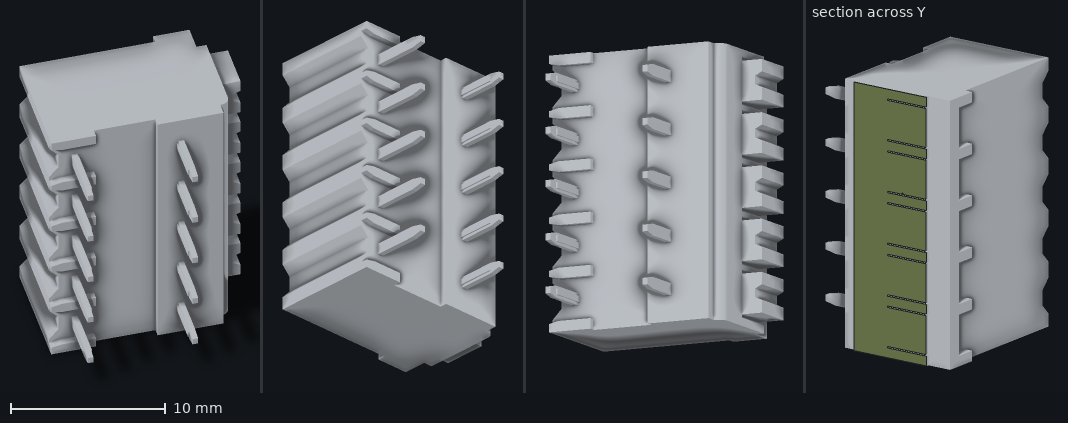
import cadquery as cq
pole_count = 5
pole_pitch = 3.5
divider_width = 0.7
height = pole_count * pole_pitch + divider_width
pole_centers = [divider_width / 2 + (i + 0.5) * pole_pitch for i in range(pole_count)]
opening_width = pole_pitch - divider_width

flange_thickness = 0.55
body_right = 8.4
body_depth = 11.55
flange_bottom = 10.58
flange_rib_bottom = 9.12

relief_depth = 0.52
relief_start = 3.0
relief_end = 7.13

groove_depth = 0.63
groove_mouth = 2.4
groove_floor = 1.06

pocket_mouth = 3.1
pocket_inner = 2.8
pocket_flare_depth = 0.7

wall_top = 12.22
wall_left = 1.72
wall_right = 7.6
wall_radius = 0.6
channel_flare_depth = 0.27
channel_flare_width = 0.2

lever_left = 1.77
lever_right = 4.88
lever_top = 13.65
lever_width = 2.68
lever_notch_depth = 0.49
lever_notch_mouth = 1.05
lever_notch_floor = 0.57

pin_end = 11.9
pin_width = 0.78
pin_thickness = 0.38
lower_pin_y = 1.69
upper_pin_y = 8.71
pin_taper_length = 0.78
pin_tip_width = 0.44
pin_embed = 1.0
bead_height = 0.1
bead_width = 0.4


def box(x_range, y_range, z_range):
    """Axis-aligned block from (low, high) pairs."""
    size = [high - low for low, high in (x_range, y_range, z_range)]
    corner = (x_range[0], y_range[0], z_range[0])
    return cq.Workplane("XY").box(*size, centered=False).translate(corner)


def around(center, width):
    """(low, high) pair centered on a value."""
    return (center - width / 2, center + width / 2)


def trapezoid_along_x(x_range, y_wide, y_narrow, z_center, width_wide, width_narrow):
    """Prism along X whose YZ section tapers from one Y level to another."""
    wide_low, wide_high = around(z_center, width_wide)
    narrow_low, narrow_high = around(z_center, width_narrow)
    section = [
        (y_wide, wide_low),
        (y_wide, wide_high),
        (y_narrow, narrow_high),
        (y_narrow, narrow_low),
    ]
    x_low, x_high = x_range
    return cq.Workplane("YZ", origin=(x_low, 0, 0)).polyline(section).close().extrude(x_high - x_low)


def make_housing():
    """Main block with the flange, the raised wall and the relief on the pin side."""
    full_height = (0, height)
    body = box((flange_thickness, body_right), (0, body_depth), full_height)
    flange = box((0, flange_thickness), (flange_rib_bottom, body_depth), full_height)
    wall = box((wall_left, wall_right), (body_depth - wall_radius, wall_top), full_height)
    wall = wall.edges("|Z and >X and >Y").fillet(wall_radius)
    relief = box((body_right - relief_depth, body_right), (relief_start, relief_end), full_height)
    return body.union(flange).union(wall).cut(relief)


def make_flange_opening(z):
    """Cutter that leaves ribs below the flange strip between neighbouring poles."""
    return box((0, flange_thickness), (flange_rib_bottom, flange_bottom), around(z, opening_width))


def make_lever_opening(z):
    """Cutter for the lever channel of one pole, flared at its rim."""
    opening_x = (wall_left, lever_right)
    flare_start = wall_top - channel_flare_depth
    channel = box(opening_x, (body_depth, flare_start), around(z, opening_width))
    rim_width = opening_width + 2 * channel_flare_width
    rim = trapezoid_along_x(opening_x, wall_top, flare_start, z, rim_width, opening_width)
    return channel.union(rim)


def make_lever(z):
    """Release lever with a V-sided notch across its tip."""
    lever_x = (lever_left, lever_right)
    lever = box(lever_x, (body_depth, lever_top), around(z, lever_width))
    notch_bottom = lever_top - lever_notch_depth
    notch = trapezoid_along_x(lever_x, lever_top, notch_bottom, z, lever_notch_mouth, lever_notch_floor)
    return lever.cut(notch)


def make_groove(z):
    """Cutter for one groove along the full length of the -Y side."""
    groove_x = (flange_thickness, body_right)
    return trapezoid_along_x(groove_x, 0, groove_depth, z, groove_mouth, groove_floor)


def make_pin_pocket(z):
    """Cutter for the flared pocket around one lower pin."""
    pocket_x = (body_right - relief_depth, body_right)
    flare = trapezoid_along_x(pocket_x, 0, pocket_flare_depth, z, pocket_mouth, pocket_inner)
    straight = box(pocket_x, (pocket_flare_depth, relief_start), around(z, pocket_inner))
    return flare.union(straight)


def make_pin(y, z, bead_side):
    """Flat pin with a tapered tip and a stiffening bead on one face (bead_side is +1 or -1)."""
    start = body_right - pin_embed
    taper_start = pin_end - pin_taper_length
    half = pin_width / 2
    tip_half = pin_tip_width / 2
    outline = [
        (start, -half),
        (taper_start, -half),
        (pin_end, -tip_half),
        (pin_end, tip_half),
        (taper_start, half),
        (start, half),
    ]
    blade_plane = cq.Workplane("XZ", origin=(0, y + pin_thickness / 2, z))
    blade = blade_plane.polyline(outline).close().extrude(pin_thickness)
    bead_center = y + bead_side * bead_height / 2
    bead_y = around(bead_center, pin_thickness + bead_height)
    bead = box((start, taper_start), bead_y, around(z, bead_width))
    return blade.union(bead)


result = make_housing()
for pole_z in pole_centers:
    result = result.cut(make_groove(pole_z)).cut(make_pin_pocket(pole_z))
    result = result.cut(make_flange_opening(pole_z)).cut(make_lever_opening(pole_z))
    result = result.union(make_lever(pole_z))
    result = result.union(make_pin(lower_pin_y, pole_z, 1))
    result = result.union(make_pin(upper_pin_y, pole_z, -1))